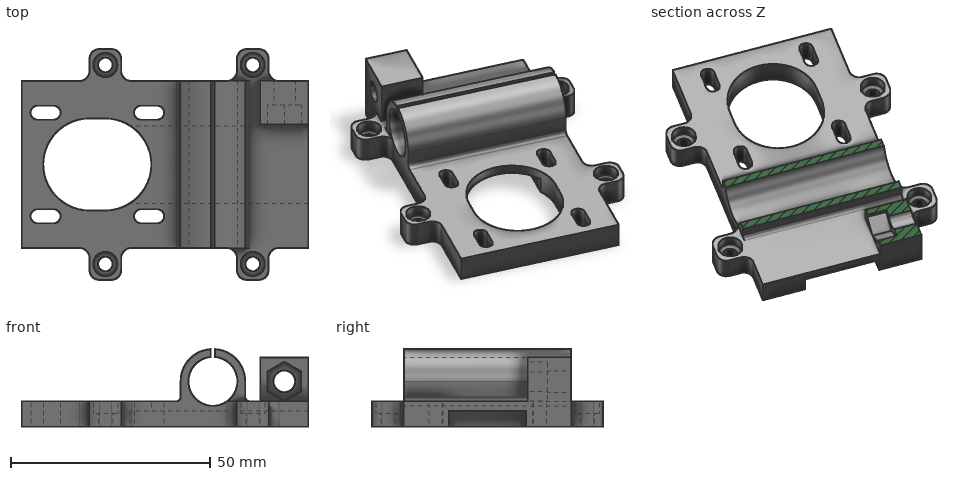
import cadquery as cq
import math

plate_length = 72.0
plate_width = 42.0
plate_thickness = 6.5

tab_centres_x = (21.0, 58.0)
tab_reach = 29.0
tab_width = 8.0
tab_radius = 2.5
screw_y = 25.0
screw_diameter = 3.6
head_diameter = 6.1
head_depth = 3.0

motor_x = 19.0
adjustment = 4.0
motor_opening_width = 23.05
bolt_spacing = 26.0
bolt_slot_width = 3.45

channel_width = 19.5
channel_depth = 4.0

clamp_x = 48.0
clamp_z = 11.45
clamp_radius = 8.1
bore_diameter = 12.25
split_width = 1.0
clamp_root_radius = 1.0

block_length = 12.1
block_width = 10.95
block_top = 17.5
block_x = plate_length - block_length / 2
block_front_y = plate_width / 2 - block_width
nut_flats = 8.5
nut_corners = nut_flats / math.cos(math.pi / 6)
nut_depth = 5.0
bolt_diameter = 5.4
bolt_z = clamp_z


def make_plate():
    """Base plate with rounded tabs on both long sides, blended into the plate."""
    plate = cq.Workplane("XY").rect(plate_length, plate_width).extrude(plate_thickness)
    plate = plate.translate((plate_length / 2, 0, 0))
    for x in tab_centres_x:
        tab = cq.Workplane("XY").center(x, 0).rect(tab_width, 2 * tab_reach).extrude(plate_thickness)
        plate = plate.union(tab.edges("|Z").fillet(tab_radius))
    tab_roots = cq.selectors.BoxSelector(
        (tab_centres_x[0] - tab_width, -screw_y, 0),
        (tab_centres_x[1] + tab_width, screw_y, plate_thickness),
    )
    return plate.edges("|Z").edges(tab_roots).fillet(tab_radius)


def make_clamp():
    """Round-topped wall on the plate, with a fillet along both sides of its root."""
    left = clamp_x - clamp_radius
    right = clamp_x + clamp_radius
    root_z = plate_thickness + clamp_root_radius
    return (
        cq.Workplane("XZ", origin=(0, plate_width / 2, 0))
        .moveTo(left - clamp_root_radius, plate_thickness)
        .radiusArc((left, root_z), -clamp_root_radius)
        .lineTo(left, clamp_z)
        .threePointArc((clamp_x, clamp_z + clamp_radius), (right, clamp_z))
        .lineTo(right, root_z)
        .radiusArc((right + clamp_root_radius, plate_thickness), -clamp_root_radius)
        .close()
        .extrude(plate_width)
    )


def make_clamp_bore():
    bore = (
        cq.Workplane("XZ", origin=(clamp_x, plate_width / 2, clamp_z))
        .circle(bore_diameter / 2)
        .extrude(plate_width)
    )
    split = (
        cq.Workplane("XY", origin=(clamp_x, 0, clamp_z))
        .rect(split_width, plate_width)
        .extrude(2 * clamp_radius)
    )
    return bore.union(split)


def make_nut_block():
    return (
        cq.Workplane("XY", origin=(block_x, block_front_y + block_width / 2, plate_thickness))
        .rect(block_length, block_width)
        .extrude(block_top - plate_thickness)
    )


def make_nut_pocket():
    """Hexagonal nut recess with corners up and down, and a bolt hole through the block."""
    front = cq.Workplane("XZ", origin=(block_x, block_front_y, bolt_z))
    recess = front.transformed(rotate=(0, 0, 90)).polygon(6, nut_corners).extrude(-nut_depth)
    return recess.union(front.circle(bolt_diameter / 2).extrude(-block_width))


def make_screw_holes():
    screws = [(x, y) for x in tab_centres_x for y in (-screw_y, screw_y)]
    shanks = cq.Workplane("XY").pushPoints(screws).circle(screw_diameter / 2).extrude(plate_thickness)
    heads = (
        cq.Workplane("XY", origin=(0, 0, plate_thickness))
        .pushPoints(screws)
        .circle(head_diameter / 2)
        .extrude(-head_depth)
    )
    return shanks.union(heads)


def cut_motor_mount(body):
    mount = cq.Workplane("XY", origin=(motor_x, 0, 0))
    opening = mount.slot2D(motor_opening_width + adjustment, motor_opening_width).extrude(plate_thickness)
    bolt_slots = (
        mount.rect(bolt_spacing, bolt_spacing, forConstruction=True)
        .vertices()
        .slot2D(bolt_slot_width + adjustment, bolt_slot_width)
        .extrude(plate_thickness)
    )
    channel_length = plate_length - motor_x
    channel = (
        mount.center(channel_length / 2, 0)
        .rect(channel_length, channel_width)
        .extrude(channel_depth)
    )
    return body.cut(opening).cut(bolt_slots).cut(channel)


body = make_plate().union(make_clamp()).union(make_nut_block())
body = body.cut(make_clamp_bore()).cut(make_nut_pocket())
body = body.cut(make_screw_holes())
result = cut_motor_mount(body)